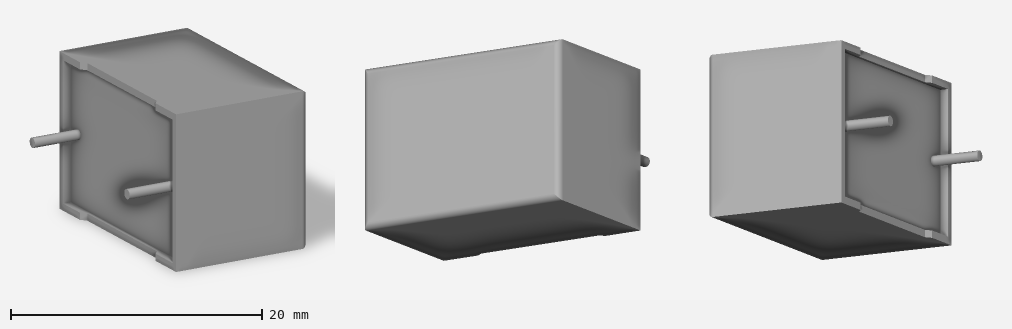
import cadquery as cq


CASE_WIDTH = 18.5
CASE_DEPTH = 12.1
CASE_HEIGHT = 13.21
WALL = 0.6
BACK_FILLET = 0.5

RELIEF_DEPTH = 0.4
RELIEF_RIM_WIDTH = 12.0
RELIEF_FLOOR_WIDTH = 11.0

FILL_RECESS = 0.7

LEAD_DIAMETER = 0.85
LEAD_PITCH = 15.0
LEAD_PROJECTION = 3.5

CAVITY_WIDTH = CASE_WIDTH - 2 * WALL
CAVITY_HEIGHT = CASE_HEIGHT - 2 * WALL
CAVITY_DEPTH = CASE_DEPTH - WALL


def block(width, height, front, back):
    """Box centred on the Y axis, reaching from Y = front to Y = back."""
    depth = back - front
    return cq.Workplane("XY").box(width, depth, height).translate((0, front + depth / 2, 0))


def rim_reliefs():
    """Trapezoidal prism that cuts the rim of both walls in one pass."""
    return (
        cq.Workplane("XY")
        .moveTo(-RELIEF_RIM_WIDTH / 2, 0)
        .lineTo(-RELIEF_FLOOR_WIDTH / 2, RELIEF_DEPTH)
        .lineTo(RELIEF_FLOOR_WIDTH / 2, RELIEF_DEPTH)
        .lineTo(RELIEF_RIM_WIDTH / 2, 0)
        .close()
        .extrude(CASE_HEIGHT / 2, both=True)
    )


def make_case():
    """Open box with a rounded back edge and relieved rim."""
    shell = block(CASE_WIDTH, CASE_HEIGHT, 0, CASE_DEPTH).faces(">Y").edges().fillet(BACK_FILLET)
    cavity = block(CAVITY_WIDTH, CAVITY_HEIGHT, 0, CAVITY_DEPTH)
    return shell.cut(cavity).cut(rim_reliefs())


def make_fill():
    """Potting block that fills the cavity up to its recessed face."""
    return block(CAVITY_WIDTH, CAVITY_HEIGHT, FILL_RECESS, CAVITY_DEPTH)


def make_lead(x):
    """Round lead that starts on the fill face and projects past the rim."""
    return (
        cq.Workplane("XZ", origin=(x, FILL_RECESS, 0))
        .circle(LEAD_DIAMETER / 2)
        .extrude(FILL_RECESS + LEAD_PROJECTION)
    )


case = make_case()
fill = make_fill()
leads = [make_lead(side * LEAD_PITCH / 2) for side in (-1, 1)]

result = cq.Compound.makeCompound([case.val(), fill.val(), *[lead.val() for lead in leads]])